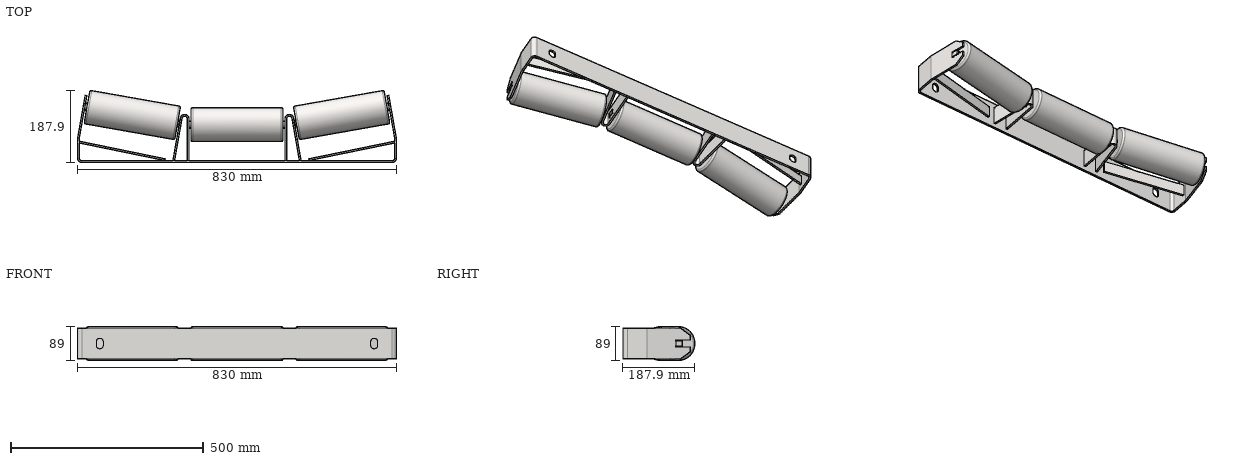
import cadquery as cq
import math

FRAME_LENGTH = 830.0
FRAME_HEIGHT = 80.0
PLATE = 5.0
BEND_RADIUS = 12.0
TILT = 10.0

KINK_Y = 63.0
SIDE_TOP_Y = 175.0
CORNER_LENGTH = 25.0
CORNER_HEIGHT = 18.0

MOUNT_SLOT_X = 357.0
MOUNT_SLOT_WIDTH = 18.0
MOUNT_SLOT_HEIGHT = 27.0

BRACKET_HEIGHT = 53.0
BRACKET_TOP_Y = 125.0
BRACKET_LEG_X = 124.5

ROLLER_DIAMETER = 89.0
ROLLER_LENGTH = 240.0
ROLLER_FILLET = 5.0
WING_GAP = 1.0
SHAFT_DIAMETER = 20.0
TANG_LENGTH = 17.5
TANG_HEIGHT = 13.0
SLOT_WIDTH = 17.5
CENTRE_ROLLER_Y = 99.0
WING_ROLLER_Y = 124.0

BRACE_OUTER_Y = 51.0
BRACE_FOOT_X = 187.5
BRACE_HEIGHT = 33.0

HALF_LENGTH = FRAME_LENGTH / 2
SIN = math.sin(math.radians(TILT))
COS = math.cos(math.radians(TILT))
HALF_ROLLER = ROLLER_LENGTH / 2

BEND_X = BRACKET_LEG_X + BEND_RADIUS
BEND_Y = BRACKET_TOP_Y - BEND_RADIUS

LEG_DISTANCE = HALF_ROLLER + WING_GAP
WING_ROLLER_X = BEND_X + (BEND_RADIUS + LEG_DISTANCE + (WING_ROLLER_Y - BEND_Y) * SIN) / COS
SIDE_DISTANCE = (HALF_LENGTH - WING_ROLLER_X) * COS + (KINK_Y - WING_ROLLER_Y) * SIN - PLATE


def on_wing_roller(shape):
    """Move a shape drawn about the origin, axis along X, onto the right-hand wing roller."""
    return shape.rotate((0, 0, 0), (0, 0, 1), TILT).translate((WING_ROLLER_X, WING_ROLLER_Y, 0))


def extrude_about_middle(sketch, height):
    """Extrude an XY outline into a plate centred on Z = 0."""
    return sketch.extrude(height).translate((0, 0, -height / 2))


def bar_along_x(section, start, end):
    """Extrude a section drawn on the YZ plane from X = start to X = end."""
    return section.extrude(end - start).translate((start, 0, 0))


def tang_bar(height, start, end):
    """Rectangular bar along X, as long in Y as a tang and `height` in Z."""
    return bar_along_x(cq.Workplane("YZ").rect(TANG_LENGTH, height), start, end)


def make_frame():
    """Bent strip: flat back, two rounded corners and two inward-leaning sides."""
    side_length = (SIDE_TOP_Y - KINK_Y) / COS
    top_x = HALF_LENGTH - side_length * SIN
    inner_kink_y = KINK_Y - PLATE * math.tan(math.radians(TILT / 2))
    inner_x = HALF_LENGTH - PLATE
    inner_radius = BEND_RADIUS - PLATE
    flat_x = HALF_LENGTH - BEND_RADIUS
    outer_mid = BEND_RADIUS * math.sqrt(0.5)
    inner_mid = inner_radius * math.sqrt(0.5)

    half = (
        cq.Workplane("XY")
        .lineTo(flat_x, 0)
        .threePointArc((flat_x + outer_mid, BEND_RADIUS - outer_mid), (HALF_LENGTH, BEND_RADIUS))
        .lineTo(HALF_LENGTH, KINK_Y)
        .lineTo(top_x, SIDE_TOP_Y)
        .lineTo(top_x - PLATE * COS, SIDE_TOP_Y - PLATE * SIN)
        .lineTo(inner_x, inner_kink_y)
        .lineTo(inner_x, BEND_RADIUS)
        .threePointArc((flat_x + inner_mid, BEND_RADIUS - inner_mid), (flat_x, PLATE))
        .lineTo(0, PLATE)
        .close()
    )
    half = extrude_about_middle(half, FRAME_HEIGHT)

    edge_z = FRAME_HEIGHT / 2
    bevel_section = (
        cq.Workplane("YZ")
        .polyline([(0, edge_z), (-CORNER_LENGTH, edge_z), (0, edge_z - CORNER_HEIGHT)])
        .close()
    )
    bevel = (
        bar_along_x(bevel_section, -2 * PLATE, 2 * PLATE)
        .rotate((0, 0, 0), (0, 0, 1), TILT)
        .translate((top_x, SIDE_TOP_Y, 0))
    )
    half = half.cut(bevel).cut(bevel.mirror("XY"))

    slot_middle = (side_length - TANG_LENGTH) / 2
    slot_section = cq.Workplane("YZ").center(slot_middle, 0).rect(side_length, SLOT_WIDTH)
    tang_slot = bar_along_x(slot_section, SIDE_DISTANCE - PLATE / 2, SIDE_DISTANCE + 2 * PLATE)
    half = half.cut(on_wing_roller(tang_slot))

    mount_slot = (
        cq.Workplane("XZ", origin=(MOUNT_SLOT_X, PLATE, 0))
        .slot2D(MOUNT_SLOT_HEIGHT, MOUNT_SLOT_WIDTH, 90)
        .extrude(PLATE)
    )
    half = half.cut(mount_slot)
    return half.union(half.mirror("YZ"))


def make_bracket():
    """Right-hand bracket: an upright leg, a rounded top and a leg leaning with the wing roller."""
    inner_radius = BEND_RADIUS - PLATE
    half_turn = math.radians((180 - TILT) / 2)

    def on_bend(radius, turn):
        """Point on the bend, `turn` radians on from the upright leg."""
        return BEND_X - radius * math.cos(turn), BEND_Y + radius * math.sin(turn)

    def foot_x(radius):
        """Where a face of the leaning leg meets the frame."""
        return BEND_X + (radius + (BEND_Y - PLATE) * SIN) / COS

    outline = (
        cq.Workplane("XY")
        .moveTo(BRACKET_LEG_X, PLATE)
        .lineTo(BRACKET_LEG_X, BEND_Y)
        .threePointArc(on_bend(BEND_RADIUS, half_turn), on_bend(BEND_RADIUS, 2 * half_turn))
        .lineTo(foot_x(BEND_RADIUS), PLATE)
        .lineTo(foot_x(inner_radius), PLATE)
        .lineTo(*on_bend(inner_radius, 2 * half_turn))
        .threePointArc(on_bend(inner_radius, half_turn), on_bend(inner_radius, 0))
        .lineTo(BRACKET_LEG_X + PLATE, PLATE)
        .close()
    )
    bracket = extrude_about_middle(outline, BRACKET_HEIGHT)

    upright_window = tang_bar(SLOT_WIDTH, BRACKET_LEG_X, BRACKET_LEG_X + PLATE)
    leaning_window = tang_bar(SLOT_WIDTH, -LEG_DISTANCE - PLATE, -LEG_DISTANCE)
    bracket = bracket.cut(upright_window.translate((0, CENTRE_ROLLER_Y, 0)))
    return bracket.cut(on_wing_roller(leaning_window))


def make_brace():
    """Right-hand brace: a flat bar sloping from the frame side down to the frame back."""
    inner_x = HALF_LENGTH - PLATE
    slope = math.atan2(BRACE_OUTER_Y - PLATE, inner_x - BRACE_FOOT_X)
    outline = (
        cq.Workplane("XY")
        .moveTo(BRACE_FOOT_X, PLATE)
        .lineTo(inner_x, BRACE_OUTER_Y)
        .lineTo(inner_x, BRACE_OUTER_Y + PLATE / math.cos(slope))
        .lineTo(BRACE_FOOT_X - PLATE * math.sin(slope), PLATE + PLATE * math.cos(slope))
        .close()
    )
    return extrude_about_middle(outline, BRACE_HEIGHT)


def make_roller(left_distance, right_distance):
    """Roller along X with rounded rims, on a shaft reaching the plates at the given distances.

    The round shaft stops at each plate; the tangs go through, flush with the far faces.
    """
    drum_section = cq.Workplane("YZ").circle(ROLLER_DIAMETER / 2)
    drum = bar_along_x(drum_section, -HALF_ROLLER, HALF_ROLLER)
    drum = drum.faces("<X or >X").edges().fillet(ROLLER_FILLET)
    shaft = bar_along_x(cq.Workplane("YZ").circle(SHAFT_DIAMETER / 2), -left_distance, right_distance)
    tangs = tang_bar(TANG_HEIGHT, -left_distance - PLATE, right_distance + PLATE)
    return drum.union(shaft).union(tangs)


frame = make_frame()
bracket = make_bracket()
brackets = [bracket, bracket.mirror("YZ")]
brace = make_brace()
braces = [brace, brace.mirror("YZ")]
centre_roller = make_roller(BRACKET_LEG_X, BRACKET_LEG_X).translate((0, CENTRE_ROLLER_Y, 0))
wing_roller = on_wing_roller(make_roller(LEG_DISTANCE, SIDE_DISTANCE))
rollers = [centre_roller, wing_roller, wing_roller.mirror("YZ")]

bodies = [frame, *brackets, *braces, *rollers]
result = cq.Compound.makeCompound([body.val() for body in bodies])